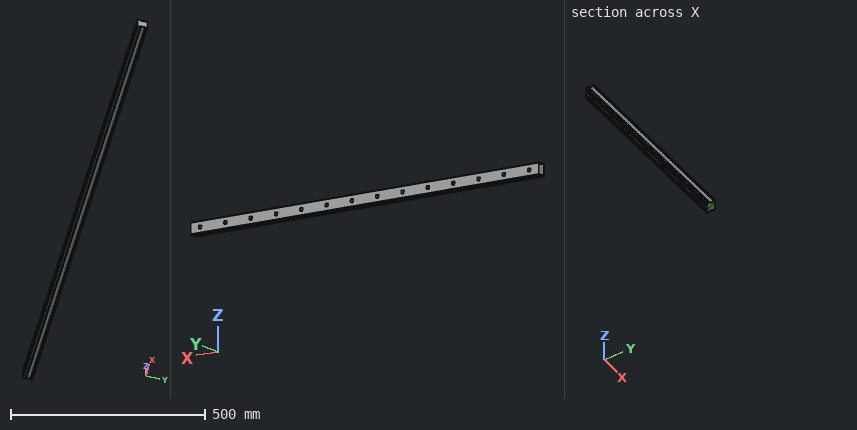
import cadquery as cq
import math

rail_length = 1100.0
rail_height = 26.0
rail_width = 34.0

corner_track_depth = 3.0
corner_track_width = 2.0
corner_track_radius = 4.0

side_track_top = 20.0
neck_top = 15.8
neck_bottom = 10.0
neck_width = 28.0
side_track_radius = 3.5

bottom_chamfer = 1.5
relief_outer_width = 18.6
relief_inner_width = 10.2
relief_step_depth = 0.5

hole_count = 14
hole_pitch = 80.0
hole_diameter = 9.0


def concave_arc_midpoint(start, end, radius):
    """Midpoint of an arc from start to end that bulges to the left of that direction."""
    run = end[0] - start[0]
    rise = end[1] - start[1]
    chord = math.hypot(run, rise)
    sagitta = radius - math.sqrt(radius**2 - (chord / 2) ** 2)
    middle_y = (start[0] + end[0]) / 2 - sagitta * rise / chord
    middle_z = (start[1] + end[1]) / 2 + sagitta * run / chord
    return (middle_y, middle_z)


def make_rail():
    """Extrude the rail section, drawn as its +Z half and mirrored, along X."""
    top = rail_height / 2
    bottom = -rail_height / 2
    side = rail_width / 2
    neck_side = neck_width / 2
    flank_drop = side - neck_side

    corner_track_start = (top, side - corner_track_width)
    corner_track_end = (top - corner_track_depth, side)
    side_track_start = (bottom + side_track_top, side)
    side_track_end = (bottom + neck_top, neck_side)

    half_section = (
        cq.Workplane("YZ")
        .moveTo(top, 0)
        .lineTo(*corner_track_start)
        .threePointArc(
            concave_arc_midpoint(corner_track_start, corner_track_end, corner_track_radius),
            corner_track_end,
        )
        .lineTo(*side_track_start)
        .threePointArc(
            concave_arc_midpoint(side_track_start, side_track_end, side_track_radius),
            side_track_end,
        )
        .lineTo(bottom + neck_bottom, neck_side)
        .lineTo(bottom + neck_bottom - flank_drop, side)
        .lineTo(bottom + bottom_chamfer, side)
        .lineTo(bottom, side - bottom_chamfer)
        .lineTo(bottom, relief_outer_width / 2)
        .lineTo(bottom + relief_step_depth, relief_outer_width / 2)
        .lineTo(bottom + relief_step_depth, relief_inner_width / 2)
        .lineTo(bottom + 2 * relief_step_depth, relief_inner_width / 2)
        .lineTo(bottom + 2 * relief_step_depth, 0)
    )
    return half_section.mirrorX().extrude(rail_length / 2, both=True)


def make_mounting_holes():
    """One row of cylinders along the rail, each passing through its full height."""
    return (
        cq.Workplane("XZ")
        .rarray(hole_pitch, 1, hole_count, 1)
        .circle(hole_diameter / 2)
        .extrude(rail_height / 2, both=True)
    )


result = make_rail().cut(make_mounting_holes())